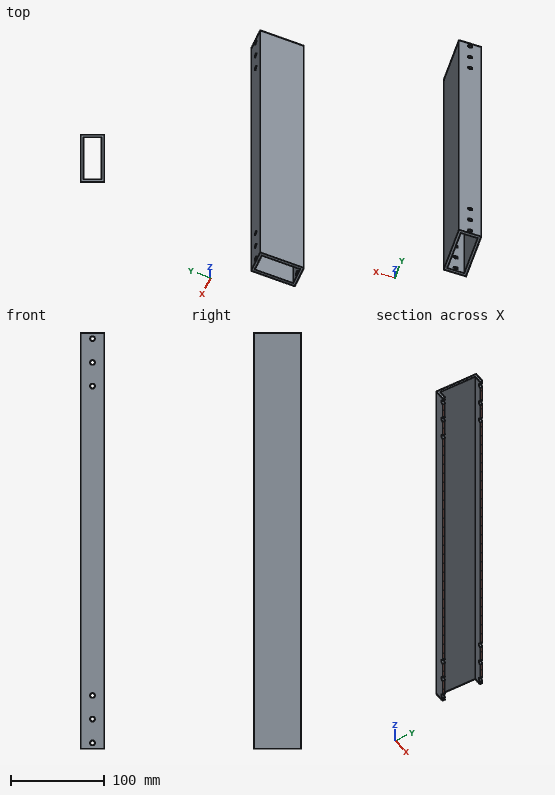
import cadquery as cq

length = 444.5
width = 25.5
depth = 50.5
wall = 3.0

hole_diameter = 5.0
hole_pitch = width
end_distance = width / 4
holes_per_end = 3


def make_tube():
    outer = cq.Workplane("XY").rect(width, depth).extrude(length)
    bore = cq.Workplane("XY").rect(width - 2 * wall, depth - 2 * wall).extrude(length)
    return outer.cut(bore)


def hole_heights():
    """Heights of the hole rows, mirrored between the two tube ends."""
    heights = []
    for index in range(holes_per_end):
        offset = end_distance + index * hole_pitch
        heights += [offset, length - offset]
    return heights


def make_hole_cutters():
    """Pins along Y that pass through both narrow walls."""
    centers = [(0, height) for height in hole_heights()]
    return (
        cq.Workplane("XZ")
        .pushPoints(centers)
        .circle(hole_diameter / 2)
        .extrude(depth, both=True)
    )


result = make_tube().cut(make_hole_cutters())